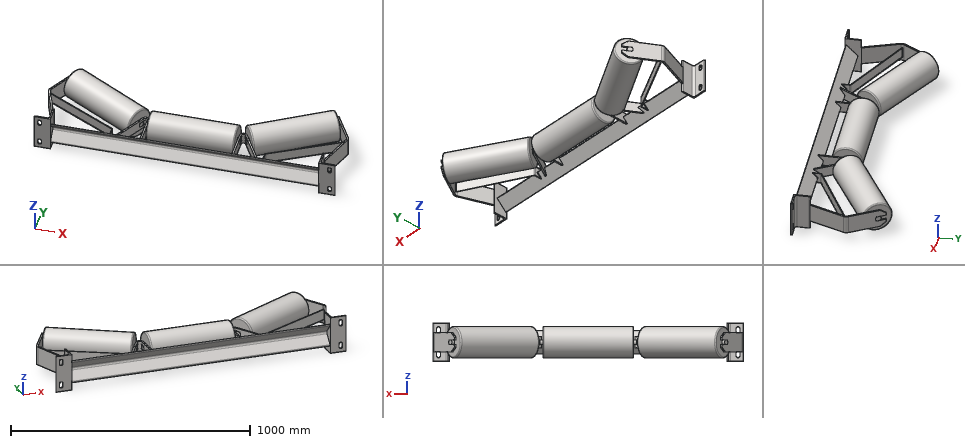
import cadquery as cq
import math


ANGLE_LEG = 70.0
ANGLE_THICKNESS = 6.0
ANGLE_ROOT_RADIUS = 9.0
ANGLE_TOE_RADIUS = 4.0

OVERALL_LENGTH = 1300.0
FOOT_HEIGHT = 160.0
FOOT_SLOT_WIDTH = 15.0
FOOT_SLOT_LENGTH = 27.0
FOOT_SLOT_EDGE_DISTANCE = 23.0
FOOT_SLOT_OFFSET = 51.0
FOOT_FACE_X = OVERALL_LENGTH / 2 - ANGLE_LEG

BEAM_APEX_Y = 56.0
BEAM_TURN = 225.0
BEAM_LENGTH = 2 * FOOT_FACE_X

ROLLER_LENGTH = 380.0
ROLLER_RADIUS = 66.0
ROLLER_EDGE_RADIUS = 5.0
CENTRE_ROLLER_Y = 153.0
SIDE_ROLLER_X = 402.0
SIDE_ROLLER_Y = 259.0
TROUGH_ANGLE = 30.0

STRIP_THICKNESS = 8.0
STRIP_FACE = 195.0
STRIP_MIDDLE = STRIP_FACE + STRIP_THICKNESS / 2

SHAFT_RADIUS = 13.0
SHAFT_FLAT_WIDTH = 21.0
SHAFT_LENGTH = 2 * (STRIP_FACE + STRIP_THICKNESS)

ARM_WIDTH = 80.0
ARM_TIP = 35.0
ARM_ELBOW = 143.0
ARM_BEND_RADIUS = 15.0
ARM_LOWER_ANGLE = 20.0
ARM_CHAMFER_LENGTH = 27.0
ARM_CHAMFER_WIDTH = 20.0

BRACKET_WIDTH = 47.0
BRACKET_BEND_RADIUS = 9.0
STRUT_THICKNESS = 4.0
STRUT_FOOT_X = 330.0
STRUT_BEND_Y = 70.0
STRUT_BEND_RADIUS = 4.0
STRUT_TOP = (642.0, 235.0)



def round_edge(body, point, radius):
    """Fillets the edge along Z that passes through a point of the XY plane."""
    return body.edges(cq.selectors.NearestToPointSelector((*point, 0))).fillet(radius)


def angle_bar(length):
    """Angle bar along Z with its outer corner at the origin and its legs along +X and +Y."""
    leg, thick = ANGLE_LEG, ANGLE_THICKNESS
    outline = [(0, 0), (leg, 0), (leg, thick), (thick, thick), (thick, leg), (0, leg)]
    bar = cq.Workplane("XY").polyline(outline).close().extrude(length / 2, both=True)
    bar = round_edge(bar, (thick, thick), ANGLE_ROOT_RADIUS)
    bar = round_edge(bar, (leg, thick), ANGLE_TOE_RADIUS)
    return round_edge(bar, (thick, leg), ANGLE_TOE_RADIUS)


def offset_point(point, direction, distance):
    """Point moved by a distance to the left of a direction given in radians."""
    x, y = point
    return (x - distance * math.sin(direction), y + distance * math.cos(direction))


def bent_strip(start, corner, end, thickness, width, bend_radius):
    """Flat bar with one bend; its middle line runs start, corner, end in the XY plane."""
    first = math.atan2(corner[1] - start[1], corner[0] - start[0])
    second = math.atan2(end[1] - corner[1], end[0] - corner[0])
    turn = second - first
    half = thickness / 2
    mitre = half / math.cos(turn / 2)

    def side(sign):
        return [
            offset_point(start, first, sign * half),
            offset_point(corner, first + turn / 2, sign * mitre),
            offset_point(end, second, sign * half),
        ]

    left, right = side(1), side(-1)
    outline = left + right[::-1]
    strip = cq.Workplane("XY").polyline(outline).close().extrude(width / 2, both=True)
    inside, outside = (left, right) if math.sin(turn) > 0 else (right, left)
    strip = round_edge(strip, inside[1], bend_radius)
    return round_edge(strip, outside[1], bend_radius + thickness)


def at_centre_roller(body):
    """Moves a body from the X axis to the axis of the centre roller."""
    return body.translate((0, CENTRE_ROLLER_Y, 0))


def at_side_roller(body):
    """Moves a body from the X axis to the tilted axis of the roller on the +X side."""
    tilted = body.rotate((0, 0, 0), (0, 0, 1), TROUGH_ANGLE)
    return tilted.translate((SIDE_ROLLER_X, SIDE_ROLLER_Y, 0))


def side_roller_point(along, across):
    """XY point at distances along and across the axis of the roller on the +X side."""
    tilt = math.radians(TROUGH_ANGLE)
    x = SIDE_ROLLER_X + along * math.cos(tilt) - across * math.sin(tilt)
    y = SIDE_ROLLER_Y + along * math.sin(tilt) + across * math.cos(tilt)
    return (x, y)


def other_side(body):
    """The same body on the -X side."""
    return body.mirror("YZ")



def make_shaft():
    """Shaft along X: round inside the roller, flattened on both ends."""
    rod = cq.Workplane("YZ").circle(SHAFT_RADIUS).extrude(SHAFT_LENGTH / 2, both=True)
    round_part = cq.Workplane("XY").box(ROLLER_LENGTH, 2 * SHAFT_RADIUS, 2 * SHAFT_RADIUS)
    flat_part = cq.Workplane("XY").box(SHAFT_LENGTH, 2 * SHAFT_RADIUS, SHAFT_FLAT_WIDTH)
    return rod.intersect(round_part.union(flat_part))


def make_roller():
    """Roller along X with rounded rims, bored to fit its shaft."""
    drum = cq.Workplane("YZ").workplane(offset=-ROLLER_LENGTH / 2)
    drum = drum.circle(ROLLER_RADIUS).extrude(ROLLER_LENGTH)
    drum = drum.edges().fillet(ROLLER_EDGE_RADIUS)
    return drum.cut(make_shaft())


def shaft_slot():
    """Space for a shaft on the X axis that drops in from +Y."""
    depth = ROLLER_RADIUS
    opening = cq.Workplane("XY").box(SHAFT_LENGTH, depth, SHAFT_FLAT_WIDTH)
    return opening.translate((0, depth / 2, 0)).union(make_shaft())



def beam_envelope():
    """Everything on the -Y side of the beam's two outer faces."""
    outline = [(BEAM_APEX_Y, 0), (BEAM_APEX_Y - ANGLE_LEG, ANGLE_LEG), (BEAM_APEX_Y - ANGLE_LEG, -ANGLE_LEG)]
    return cq.Workplane("YZ").polyline(outline).close().extrude(BEAM_LENGTH / 2, both=True)


def make_beam():
    """Angle bar turned so that its outer corner points along +Y."""
    bar = angle_bar(BEAM_LENGTH).rotate((0, 0, 0), (0, 0, 1), BEAM_TURN)
    bar = bar.rotate((0, 0, 0), (0, 1, 0), 90)
    return bar.translate((0, BEAM_APEX_Y, 0))


def make_bracket():
    """Folded bar that holds the centre roller's shaft and the inner end of a side roller's."""
    lean = math.tan(math.radians(TROUGH_ANGLE))
    axis_x, axis_y = side_roller_point(-STRIP_MIDDLE, 0)
    fold_y = axis_y + (axis_x - STRIP_MIDDLE) / lean
    upright_end = (STRIP_MIDDLE, 0)
    fold = (STRIP_MIDDLE, fold_y)
    leaning_end = (STRIP_MIDDLE + fold_y * lean, 0)
    bracket = bent_strip(
        upright_end, fold, leaning_end, STRIP_THICKNESS, BRACKET_WIDTH, BRACKET_BEND_RADIUS
    )
    bracket = bracket.cut(beam_envelope())
    bracket = bracket.cut(at_centre_roller(shaft_slot()))
    return bracket.cut(at_side_roller(shaft_slot()))


def make_cross_beam():
    """Beam with a bracket welded on at each side."""
    bracket = make_bracket()
    return make_beam().union(bracket).union(other_side(bracket))



def make_foot():
    """Angle bar with two bolt slots through the leg that lies on Y = 0."""
    slot_x = ANGLE_LEG - FOOT_SLOT_EDGE_DISTANCE
    slots = (
        cq.Workplane("XZ")
        .pushPoints([(slot_x, -FOOT_SLOT_OFFSET), (slot_x, FOOT_SLOT_OFFSET)])
        .slot2D(FOOT_SLOT_LENGTH, FOOT_SLOT_WIDTH, 90)
        .extrude(-ANGLE_THICKNESS)
    )
    return angle_bar(FOOT_HEIGHT).cut(slots).translate((FOOT_FACE_X, 0, 0))


def arm_tip_corner(side):
    """Corner of the arm's free end to cut off, on the +Z (1) or -Z (-1) side."""
    edge = side * ARM_WIDTH / 2
    outline = [
        (ARM_TIP, edge),
        (ARM_TIP - ARM_CHAMFER_LENGTH, edge),
        (ARM_TIP, edge - side * ARM_CHAMFER_WIDTH),
    ]
    corner = cq.Workplane("YZ").polyline(outline).close().extrude(SHAFT_LENGTH)
    return at_side_roller(corner)


def make_arm():
    """Bent bar from the top of the foot to the outer shaft end of a side roller."""
    tip = side_roller_point(STRIP_MIDDLE, ARM_TIP)
    elbow = side_roller_point(STRIP_MIDDLE, -ARM_ELBOW)
    base = (elbow[0] - elbow[1] * math.tan(math.radians(ARM_LOWER_ANGLE)), 0)
    arm = bent_strip(tip, elbow, base, STRIP_THICKNESS, ARM_WIDTH, ARM_BEND_RADIUS)

    beyond_foot = OVERALL_LENGTH / 2 - FOOT_FACE_X
    under = cq.Workplane("XY").box(OVERALL_LENGTH, 2 * ANGLE_LEG, FOOT_HEIGHT)
    inboard = cq.Workplane("XY").box(beyond_foot, 4 * ANGLE_LEG, FOOT_HEIGHT)
    inboard = inboard.translate((FOOT_FACE_X - beyond_foot / 2, 0, 0))
    arm = arm.cut(under).cut(inboard)

    for side in (-1, 1):
        arm = arm.cut(arm_tip_corner(side))
    return arm.cut(at_side_roller(shaft_slot()))


def make_strut(arm):
    """Thin bent bar that braces the arm's elbow against the beam."""
    strut = bent_strip(
        (STRUT_FOOT_X, 0), (STRUT_FOOT_X, STRUT_BEND_Y), STRUT_TOP,
        STRUT_THICKNESS, BRACKET_WIDTH, STRUT_BEND_RADIUS,
    )
    return strut.cut(beam_envelope()).cut(arm)


def make_end_frame():
    """Foot, arm and strut welded together, on the +X side."""
    arm = make_arm()
    return make_foot().union(arm).union(make_strut(arm))



cross_beam = make_cross_beam()

end_frame = make_end_frame()
end_frames = [end_frame, other_side(end_frame)]

rollers = []
shafts = []
for bodies, make_body in ((rollers, make_roller), (shafts, make_shaft)):
    side_body = at_side_roller(make_body())
    bodies.append(at_centre_roller(make_body()))
    bodies.append(side_body)
    bodies.append(other_side(side_body))

all_bodies = [cross_beam, *end_frames, *rollers, *shafts]
result = cq.Compound.makeCompound([solid for body in all_bodies for solid in body.solids().vals()])